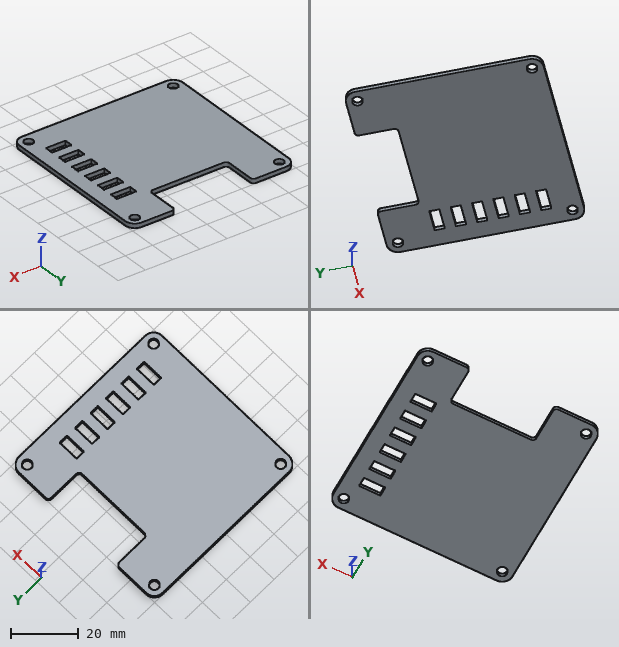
import cadquery as cq

side = 60.0
thickness = 1.6
corner_radius = 3.5

hole_diameter = 3.2
hole_spacing = side - 2 * corner_radius

notch_width = 28.4
notch_depth = 12.85
notch_radius = 1.2

slot_count = 6
slot_length = 7.1
slot_width = 3.05
slot_pitch = 6.5
slot_center_x = 21.0
slot_column_center_y = -2.8


def make_plate():
    """Square plate with rounded corners, centred on the origin."""
    plate = cq.Workplane("XY").box(side, side, thickness)
    return plate.edges("|Z").fillet(corner_radius)


def cut_notch(plate):
    """Open the +Y edge, then round the two inner and two outer notch corners."""
    notch = (
        cq.Workplane("XY")
        .box(notch_width, 2 * notch_depth, 2 * thickness)
        .translate((0, side / 2, 0))
    )
    notch_corners = cq.selectors.BoxSelector(
        (-notch_width / 2 - notch_radius, side / 2 - notch_depth - notch_radius, -thickness),
        (notch_width / 2 + notch_radius, side / 2 + notch_radius, thickness),
    )
    return plate.cut(notch).edges("|Z").edges(notch_corners).fillet(notch_radius)


def cut_mounting_holes(plate):
    """Drill a through hole at each corner."""
    return (
        plate.faces(">Z")
        .workplane(origin=(0, 0, 0))
        .rect(hole_spacing, hole_spacing, forConstruction=True)
        .vertices()
        .hole(hole_diameter)
    )


def cut_slots(plate):
    """Cut the evenly spaced column of through slots."""
    return (
        plate.faces(">Z")
        .workplane(origin=(slot_center_x, slot_column_center_y, 0))
        .rarray(0.6, slot_pitch, 1, slot_count)
        .rect(slot_length, slot_width)
        .cutThruAll()
    )


result = cut_slots(cut_mounting_holes(cut_notch(make_plate())))